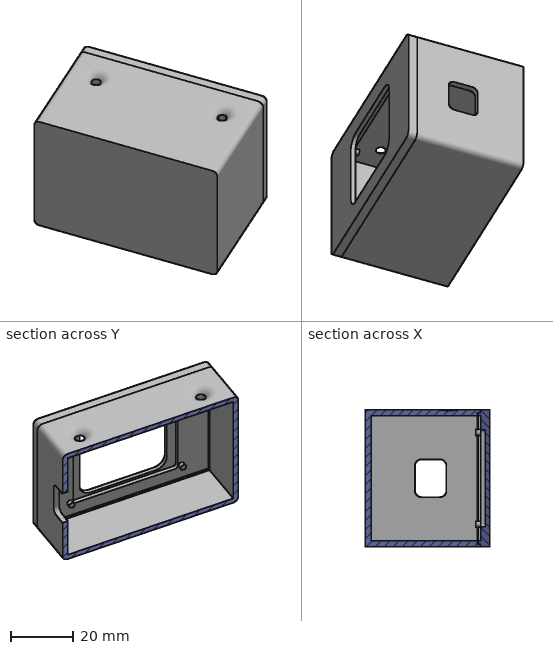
import cadquery as cq
import math

LENGTH = 64.0
DEPTH = 40.0
HEIGHT = 44.0
WALL = 2.0
CORNER_RADIUS = 2.0
FRONT_Y = -DEPTH / 2
BACK_Y = DEPTH / 2

LID_THICKNESS = 3.0
SEAM_Y = BACK_Y - LID_THICKNESS
LIP_THICKNESS = 1.0
LIP_LENGTH = 0.8
REBATE_DEPTH = 1.0

WINDOW_WIDTH = 10.0
WINDOW_HEIGHT = 12.0
WINDOW_RADIUS = 2.0
WINDOW_Y = 1.0

HOLE_SPACING = 44.0
HOLE_Y = 7.0
MOUTH_DIAMETER = 10.0
FLARE_RADIUS = 4.0

POCKET_LENGTH = 38.0
POCKET_HEIGHT = 31.1
POCKET_RADIUS = 1.0
POCKET_DEPTH = 1.5
OPENING_LENGTH = 31.6
OPENING_HEIGHT = 29.4
OPENING_RADIUS = 4.0

PIN_DIAMETER = 2.0
PIN_LENGTH = 1.5
PIN_SPACING_X = 40.5
PIN_SPACING_Z = 29.4


def block(length, height, y_start, y_end, radius=0.0):
    """Block centred on the Y axis, with its four Y edges rounded."""
    middle_y = (y_start + y_end) / 2
    body = cq.Workplane("XY", origin=(0, middle_y, 0)).box(length, y_end - y_start, height)
    return body.edges("|Y").fillet(radius) if radius else body


def inset_block(inset, y_start, y_end):
    """Square-cornered block set in from the outside of the box."""
    return block(LENGTH - 2 * inset, HEIGHT - 2 * inset, y_start, y_end)


def cable_window():
    """Rounded rectangular cutter that passes through the -X wall only."""
    window = cq.Workplane("XY").box(2 * WALL, WINDOW_WIDTH, WINDOW_HEIGHT).edges("|X").fillet(WINDOW_RADIUS)
    return window.translate((-LENGTH / 2, WINDOW_Y, 0))


def flared_hole():
    """Trumpet-shaped hole that opens level with the top face and narrows along an arc through the wall."""
    mouth_radius = MOUTH_DIAMETER / 2
    end_angle = math.acos(1 - WALL / FLARE_RADIUS)

    def arc_point(angle):
        return mouth_radius - FLARE_RADIUS * math.sin(angle), FLARE_RADIUS * (math.cos(angle) - 1)

    profile = (
        cq.Workplane("XZ")
        .lineTo(mouth_radius, 0)
        .threePointArc(arc_point(end_angle / 2), arc_point(end_angle))
        .lineTo(0, -WALL)
        .close()
    )
    return profile.revolve(360, (0, 0, 0), (0, 1, 0))


def make_housing():
    """Box open at +Y, rebated at the mouth to take the lip of the lid."""
    housing = block(LENGTH, HEIGHT, FRONT_Y, SEAM_Y, CORNER_RADIUS)
    housing = housing.cut(inset_block(WALL, FRONT_Y + WALL, SEAM_Y))
    housing = housing.cut(inset_block(WALL - LIP_THICKNESS, SEAM_Y - REBATE_DEPTH, SEAM_Y))
    housing = housing.cut(cable_window())
    for side in (-1, 1):
        housing = housing.cut(flared_hole().translate((side * HOLE_SPACING / 2, HOLE_Y, HEIGHT / 2)))
    return housing


def make_lid():
    """Cover with a lip, a display pocket and opening, and four locating pins."""
    lid = block(LENGTH, HEIGHT, SEAM_Y, BACK_Y, CORNER_RADIUS)
    lip = inset_block(WALL - LIP_THICKNESS, SEAM_Y - LIP_LENGTH, SEAM_Y)
    lid = lid.union(lip.cut(inset_block(WALL, SEAM_Y - LIP_LENGTH, SEAM_Y)))
    lid = lid.cut(block(POCKET_LENGTH, POCKET_HEIGHT, SEAM_Y, SEAM_Y + POCKET_DEPTH, POCKET_RADIUS))
    lid = lid.cut(block(OPENING_LENGTH, OPENING_HEIGHT, SEAM_Y, BACK_Y, OPENING_RADIUS))
    pins = (
        cq.Workplane("XZ", origin=(0, SEAM_Y, 0))
        .rarray(PIN_SPACING_X, PIN_SPACING_Z, 2, 2)
        .circle(PIN_DIAMETER / 2)
        .extrude(PIN_LENGTH)
    )
    return lid.union(pins)


housing = make_housing()
lid = make_lid()
result = cq.Compound.makeCompound([housing.val(), lid.val()])